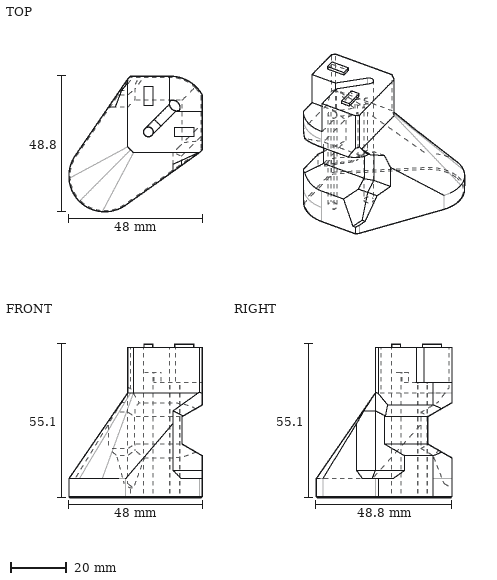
import math

import cadquery as cq

OVERALL_X = 47.95
OVERALL_Y = 48.77
OVERALL_Z = 55.1
COLUMN_X = 26.83
COLUMN_Y = 27.5
PAD_HEIGHT = 1.1
COLUMN_TOP = OVERALL_Z - PAD_HEIGHT
COLUMN_BOTTOM = 37.65
BASE_HEIGHT = 6.85
BASE_CHAMFER = 0.45

TOE_RADIUS = 12.9
TOE_X = COLUMN_X - OVERALL_X + TOE_RADIUS
TOE_Y = COLUMN_Y - OVERALL_Y + TOE_RADIUS
TOE_SEAM_ANGLE = 4
FRONT_CHAMFER = 2.1
SIDE_CHAMFER = 1.05
ROUND_RADIUS = 13.3
ROUND_START_X = 15.3
ROUND_END_Y = 20.7

ARM_X = 15.0
ARM_Y = 14.7
NOTCH_FLOOR = 41.3
SCREW_DIAMETER = 3.4
SCREW_XY = 7.45
SLOT_STEP_XY = 10.75
SLOT_SHELF = 45.0
SLOT_END_XY = (ARM_X + ARM_Y) / 2 + SCREW_DIAMETER / 2
CORNER_HOLE_DIAMETER = 5.12
CORNER_HOLE_CENTERS = (16.2, 17.6)

PAD_LENGTH = 6.85
PAD_WIDTH = 3.2
PAD_FAR = 20.3

WINDOW_WALL = 16.34
WINDOW_MID_Z = 24.2
MOUTH_HALF_HEIGHT = 6.5
THROAT_HALF_HEIGHT = 4.9
WINDOW_SLOPE = math.tan(math.radians(30))
FRONT_NARROWING = 3.2
LEFT_NARROWING = 2.5
FUNNEL_DEPTH = 11
REACH = 40

FRONT_MOUTH_TOP = 31.2
FRONT_ROOF_SLOPE = math.tan(math.radians(35.5))
FRONT_FLOOR_CHAMFER = 2.95

LEFT_LEDGE_Y = 20.7
LEFT_FOOT = (24.6, 5.15)
LEFT_ROOF_Y = 22.4
LEFT_ROOF_SLOPE = math.tan(math.radians(53))


def toe_point(angle):
    a = math.radians(angle)
    return (TOE_X + TOE_RADIUS * math.cos(a), TOE_Y + TOE_RADIUS * math.sin(a))


def tangent_angle(corner, side):
    """Angle on the toe circle where the tangent from a corner touches it."""
    dx = corner[0] - TOE_X
    dy = corner[1] - TOE_Y
    opening = math.degrees(math.acos(TOE_RADIUS / math.hypot(dx, dy)))
    return math.degrees(math.atan2(dy, dx)) + side * opening


RIGHT_CORNER = (COLUMN_X - SIDE_CHAMFER, 0)
LEFT_CORNER = (0, COLUMN_Y - SIDE_CHAMFER)
RIGHT_TANGENT = tangent_angle(RIGHT_CORNER, -1)
LEFT_TANGENT = tangent_angle(LEFT_CORNER, 1) - 360
TOE_FRONT = -90
TOE_LEFT = -180
TOE_ANGLES = [
    RIGHT_TANGENT,
    TOE_FRONT - TOE_SEAM_ANGLE,
    (TOE_FRONT + TOE_LEFT) / 2,
    TOE_LEFT + TOE_SEAM_ANGLE,
    LEFT_TANGENT,
]
FRONT_RING = [
    RIGHT_CORNER,
    (FRONT_CHAMFER, 0),
    (FRONT_CHAMFER / 2, FRONT_CHAMFER / 2),
    (0, FRONT_CHAMFER),
    LEFT_CORNER,
]


def vec(point, z):
    return cq.Vector(point[0], point[1], z)


def line(p, q, z):
    return cq.Edge.makeLine(vec(p, z), vec(q, z))


def arc(p, middle, q, z):
    return cq.Edge.makeThreePointArc(vec(p, z), vec(middle, z), vec(q, z))


def back_edges(z):
    """Edges of the sides shared by base and column, from the left corner round to the right corner."""
    start = (ROUND_START_X, COLUMN_Y)
    end = (COLUMN_X, ROUND_END_Y)
    chord_x = end[0] - start[0]
    chord_y = end[1] - start[1]
    chord = math.hypot(chord_x, chord_y)
    bulge = ROUND_RADIUS - math.sqrt(ROUND_RADIUS**2 - chord**2 / 4)
    middle = (
        (start[0] + end[0]) / 2 - chord_y / chord * bulge,
        (start[1] + end[1]) / 2 + chord_x / chord * bulge,
    )
    left_back = (SIDE_CHAMFER, COLUMN_Y)
    right_front = (COLUMN_X, SIDE_CHAMFER)
    return [
        line(LEFT_CORNER, left_back, z),
        line(left_back, start, z),
        arc(start, middle, end, z),
        line(end, right_front, z),
        line(right_front, RIGHT_CORNER, z),
    ]


def toe_edges(z):
    edges = []
    for first, last in zip(TOE_ANGLES, TOE_ANGLES[1:]):
        edges.append(arc(toe_point(first), toe_point((first + last) / 2), toe_point(last), z))
    return edges


def front_edges(z):
    return [line(p, q, z) for p, q in zip(FRONT_RING, FRONT_RING[1:])]


def base_edges(z):
    right_side = line(RIGHT_CORNER, toe_point(RIGHT_TANGENT), z)
    left_side = line(toe_point(LEFT_TANGENT), LEFT_CORNER, z)
    return [right_side, *toe_edges(z), left_side, *back_edges(z)]


def column_edges(z):
    return front_edges(z) + back_edges(z)


def flat_face(edges):
    return cq.Face.makeFromWires(cq.Wire.assembleEdges(edges))


def prism(edges, height):
    return cq.Workplane(cq.Solid.extrudeLinear(flat_face(edges), cq.Vector(0, 0, height)))


def side_triangle(corner, tangent):
    points = [vec(corner, BASE_HEIGHT), vec(tangent, BASE_HEIGHT), vec(corner, COLUMN_BOTTOM)]
    return cq.Face.makeFromWires(cq.Wire.makePolygon(points, close=True))


def make_neck():
    """Ruled transition from the long base outline up to the column outline."""
    pairs = list(zip(toe_edges(BASE_HEIGHT), front_edges(COLUMN_BOTTOM)))
    pairs += zip(back_edges(BASE_HEIGHT), back_edges(COLUMN_BOTTOM))
    faces = [cq.Face.makeRuledSurface(low, high) for low, high in pairs]
    faces.append(side_triangle(RIGHT_CORNER, toe_point(RIGHT_TANGENT)))
    faces.append(side_triangle(LEFT_CORNER, toe_point(LEFT_TANGENT)))
    faces.append(flat_face(base_edges(BASE_HEIGHT)))
    faces.append(flat_face(column_edges(COLUMN_BOTTOM)))
    return cq.Workplane(cq.Solid.makeSolid(cq.Shell.makeShell(faces)))


def make_body():
    base = prism(base_edges(0), BASE_HEIGHT).faces("<Z").chamfer(BASE_CHAMFER)
    column = prism(column_edges(COLUMN_BOTTOM), COLUMN_TOP - COLUMN_BOTTOM)
    return base.union(make_neck()).union(column)


def inset(profile, distance):
    """Counterclockwise polygon with every side moved inwards and its corners kept sharp."""
    corners = []
    for before, here, after in zip(profile[-1:] + profile[:-1], profile, profile[1:] + profile[:1]):
        heading_in = math.atan2(here[1] - before[1], here[0] - before[0])
        heading_out = math.atan2(after[1] - here[1], after[0] - here[0])
        half_turn = (heading_out - heading_in) / 2
        bisector = heading_in + half_turn + math.pi / 2
        shift = distance / math.cos(half_turn)
        corners.append((here[0] + shift * math.cos(bisector), here[1] + shift * math.sin(bisector)))
    return corners


def funnel(plane, profile):
    """Prism of a mouth profile outside the plane, narrowing at 45 degrees on the inside."""
    mouth = cq.Workplane(plane).polyline(profile).close().extrude(-REACH)
    neck = (
        cq.Workplane(plane)
        .polyline(profile)
        .close()
        .workplane(offset=FUNNEL_DEPTH)
        .polyline(inset(profile, FUNNEL_DEPTH))
        .close()
        .loft(ruled=True)
    )
    return mouth.union(neck)


def throat(plane, wall, start):
    """Six-sided throat running on from the narrow end of a funnel."""
    rise = REACH * WINDOW_SLOPE
    profile = [
        (wall, WINDOW_MID_Z - THROAT_HALF_HEIGHT),
        (wall + REACH, WINDOW_MID_Z - THROAT_HALF_HEIGHT - rise),
        (wall + REACH, WINDOW_MID_Z + THROAT_HALF_HEIGHT + rise),
        (wall, WINDOW_MID_Z + THROAT_HALF_HEIGHT),
    ]
    return cq.Workplane(plane).workplane(offset=start).polyline(profile).close().extrude(REACH)


FRONT_PLANE = cq.Plane(origin=(0, 0, 0), xDir=(-1, 0, 0), normal=(0, 1, 0))
LEFT_PLANE = cq.Plane(origin=(0, 0, 0), xDir=(0, 1, 0), normal=(1, 0, 0))


def mirrored(profile):
    return [(-x, z) for x, z in profile]


def front_window():
    profile = [
        (WINDOW_WALL, -REACH),
        (WINDOW_WALL, FRONT_MOUTH_TOP),
        (WINDOW_WALL + REACH, FRONT_MOUTH_TOP + REACH * FRONT_ROOF_SLOPE),
        (WINDOW_WALL + REACH, -REACH),
    ]
    mouth = funnel(FRONT_PLANE, mirrored(profile))
    far = 2 * REACH
    plan = [
        (WINDOW_WALL, 0),
        (WINDOW_WALL, -far),
        (WINDOW_WALL + far, -far),
        (WINDOW_WALL + far, far),
    ]
    flare_z = BASE_HEIGHT + FRONT_FLOOR_CHAMFER
    upper = cq.Workplane().workplane(offset=flare_z).polyline(plan).close().extrude(REACH)
    lower = (
        cq.Workplane("XY", origin=(0, 0, flare_z))
        .transformed(rotate=(180, 0, 0))
        .polyline([(x, -y) for x, y in plan])
        .close()
        .extrude(FRONT_FLOOR_CHAMFER, taper=45)
    )
    return mouth.intersect(upper.union(lower))


def left_window():
    ledge_z = WINDOW_MID_Z - MOUTH_HALF_HEIGHT - (LEFT_LEDGE_Y - WINDOW_WALL) * WINDOW_SLOPE
    roof_z = WINDOW_MID_Z + MOUTH_HALF_HEIGHT + (LEFT_ROOF_Y - WINDOW_WALL) * WINDOW_SLOPE
    foot_y, foot_z = LEFT_FOOT
    bank_slope = (ledge_z - foot_z) / (foot_y - LEFT_LEDGE_Y)
    far_y = WINDOW_WALL + REACH
    profile = [
        (WINDOW_WALL, WINDOW_MID_Z - MOUTH_HALF_HEIGHT),
        (LEFT_LEDGE_Y, ledge_z),
        (far_y, ledge_z - (far_y - LEFT_LEDGE_Y) * bank_slope),
        (far_y, roof_z + (far_y - LEFT_ROOF_Y) * LEFT_ROOF_SLOPE),
        (LEFT_ROOF_Y, roof_z),
        (WINDOW_WALL, WINDOW_MID_Z + MOUTH_HALF_HEIGHT),
    ]
    above_foot = [
        (0, foot_z + foot_y * WINDOW_SLOPE),
        (far_y, foot_z - (far_y - foot_y) * WINDOW_SLOPE),
        (far_y, OVERALL_Z),
        (0, OVERALL_Z),
    ]
    floor_limit = cq.Workplane(LEFT_PLANE).polyline(above_foot).close().extrude(REACH, both=True)
    return funnel(LEFT_PLANE, profile).intersect(floor_limit)


def front_throat():
    plane = cq.Plane(origin=(0, 0, 0), xDir=(1, 0, 0), normal=(0, -1, 0))
    return throat(plane, WINDOW_WALL + FRONT_NARROWING, -FRONT_NARROWING - REACH)


def left_throat():
    return throat(LEFT_PLANE, WINDOW_WALL + LEFT_NARROWING, LEFT_NARROWING)


def corner_notch():
    size = (COLUMN_X, COLUMN_Y, COLUMN_TOP)
    return cq.Workplane().box(*size, centered=False).translate((ARM_X, ARM_Y, NOTCH_FLOOR))


def diagonal_slot(start, end, floor):
    """Slot along the plan diagonal, square-ended, open at the column top."""
    length = (end - start) * math.sqrt(2)
    slot = cq.Workplane().box(length, SCREW_DIAMETER, COLUMN_TOP - floor, centered=(False, True, False))
    return slot.rotate((0, 0, 0), (0, 0, 1), 45).translate((start, start, floor))


def screw_hole():
    return cq.Workplane().center(SCREW_XY, SCREW_XY).circle(SCREW_DIAMETER / 2).extrude(COLUMN_TOP)


def corner_hole():
    """Lens-shaped hole, the overlap of two equal circles on the plan diagonal."""
    near, far = [
        cq.Workplane().center(xy, xy).circle(CORNER_HOLE_DIAMETER / 2).extrude(COLUMN_TOP)
        for xy in CORNER_HOLE_CENTERS
    ]
    return near.intersect(far)


def pad(x, y, length_x, length_y):
    block = cq.Workplane().box(length_x, length_y, PAD_HEIGHT, centered=(True, True, False))
    return block.translate((x, y, COLUMN_TOP))


result = make_body()
for cutter in (front_window(), left_window(), front_throat(), left_throat(), corner_notch()):
    result = result.cut(cutter)
result = result.cut(diagonal_slot(SCREW_XY, SLOT_STEP_XY, SLOT_SHELF))
result = result.cut(diagonal_slot(SLOT_STEP_XY, SLOT_END_XY, NOTCH_FLOOR))
result = result.cut(screw_hole()).cut(corner_hole())
result = result.union(pad(SCREW_XY, PAD_FAR, PAD_WIDTH, PAD_LENGTH))
result = result.union(pad(PAD_FAR, SCREW_XY, PAD_LENGTH, PAD_WIDTH))